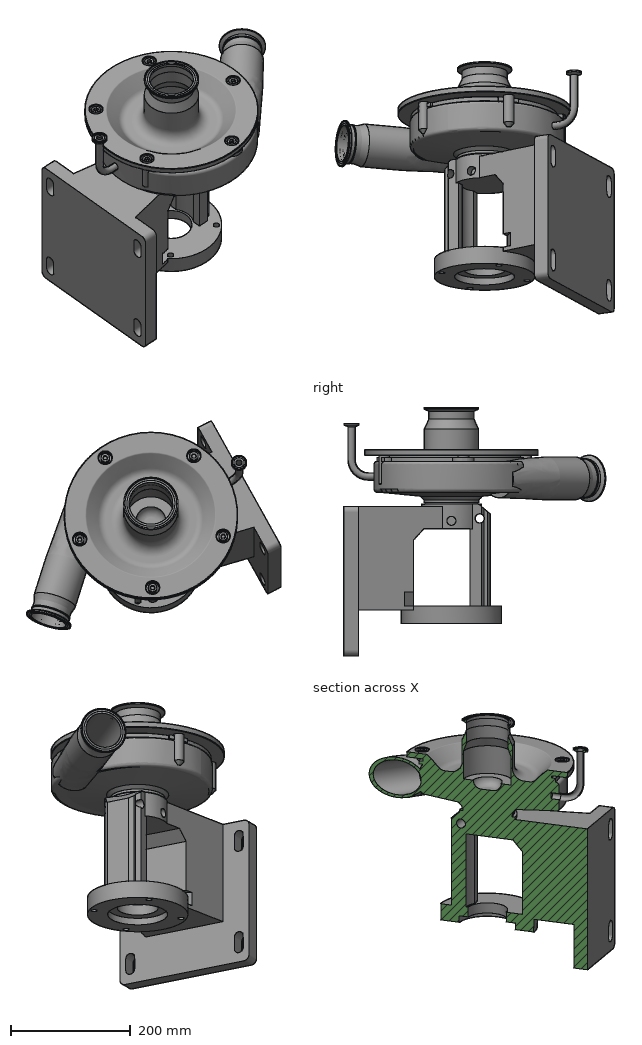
import cadquery as cq
import math


PLATE_SIZE = 250.0
PLATE_THICKNESS = 25.0
PLATE_CORNER_RADIUS = 10.0
PLATE_FACE_Y = -180.0
PLATE_BACK_Y = PLATE_FACE_Y + PLATE_THICKNESS
SLOT_SPACING_X = 210.0
SLOT_SPACING_Z = 180.0
SLOT_LENGTH = 37.0
SLOT_WIDTH = 17.0

ARM_HALF_WIDTH_AT_PLATE = 74.6
ARM_HALF_WIDTH_AT_HUB = 47.8
ARM_FRONT_Y = -14.6
ARM_INNER_Y = -63.0
ARM_BOTTOM_Z = 77.0
ARM_CHAMFER_Y = 17.0
ARM_CHAMFER_Z = 18.5
ARM_SLOPE = (ARM_HALF_WIDTH_AT_PLATE - ARM_HALF_WIDTH_AT_HUB) / (ARM_FRONT_Y - PLATE_BACK_Y)
NOTCH_LENGTH = 15.0
NOTCH_HEIGHT = 23.0

HUB_RADIUS = 50.0
HUB_BOTTOM_Z = 212.5
HUB_TOP_Z = 254.0
HUB_HOLE_Z = 226.0
CROSS_HOLE_DIAMETER = 15.0
HUB_HOLE_DEPTH = 15.0
LEG_HALF_WIDTH = 35.2
LEG_FRONT_Y = 31.0
LEG_SIDE_END_Y = 50.0
LEG_RIB_HALF_WIDTH = 28.0
LEG_RIB_START_Y = 54.5
LEG_RIB_END_Y = 60.0
LEG_BACK_HALF_WIDTH = 20.0
LEG_BACK_Y = 65.0
LEG_INNER_RADIUS = 37.5
LEG_CHAMFER_Y = 19.5
LEG_CHAMFER_Z = 16.5
LEG_HOLE_Y = 47.3
LEG_HOLE_Z = 230.0
RING_RADIUS = 84.0
RING_BORE_RADIUS = 34.0
RING_TOP_Z = 84.0
RING_THICKNESS = 29.5
RING_COUNTERBORE_RADIUS = 50.0
RING_LIP_HEIGHT = 18.0
RING_BOLT_RADIUS = 75.0
RING_BOLT_DIAMETER = 10.0
RING_BOLT_COUNT = 4
RING_BOLT_FIRST_ANGLE = 45.0

CASING_RADIUS = 134.6
CASING_CENTRE_X = 8.3
CASING_CENTRE_Y = 5.0
CASING_START_RADIUS = 115.0
CASING_BOTTOM_Z = 273.5
CASING_TOP_Z = 325.5
CASING_EDGE_RADIUS = 6.0
CASING_BASE_RADIUS = 119.0
CASING_BASE_Z = 267.0
NECK_RADIUS = 46.0
NECK_GROOVE_RADIUS = 44.5
NECK_GROOVE_TOP_Z = 256.7
NECK_FLARE = 6.0

COVER_RADIUS = 145.0
COVER_THICKNESS = 10.0
COVER_TOP_Z = 345.0
COVER_BOTTOM_Z = COVER_TOP_Z - COVER_THICKNESS
COVER_SPIGOT_RADIUS = 116.0
COVER_EDGE_CHAMFER = 1.0
COLLAR_RADIUS = 123.0
COLLAR_TOP_Z = 332.0
DISH_RIM_RADIUS = 109.5
DISH_RIM_FILLET = 3.0
DISH_FLOOR_RADIUS = 76.4
DISH_FLOOR_FILLET = 15.0
DISH_DEPTH = 25.0
DISH_WALL_ANGLE = 45.0

SUCTION_TOP_Z = 415.0
SUCTION_BODY_RADIUS = 45.5
SUCTION_ROOT_FILLET = 20.0
SUCTION_CONE_BOTTOM_Z = 379.5
SUCTION_CONE_TOP_Z = 396.0
SUCTION_PIPE_RADIUS = 38.0
SUCTION_BORE_RADIUS = 36.5
SUCTION_FLARE_RADIUS = 42.5
SUCTION_FLARE_TOP_Z = 375.0
SUCTION_FLARE_BOTTOM_Z = 359.0
SUCTION_FERRULE_RADIUS = 45.5
SUCTION_GROOVE_RADIUS = 41.6
SUCTION_FLOOR_Z = 310.0
EYE_RADIUS = 25.0
EYE_FILLET = 14.0

LIP_THICKNESS = 2.5
LIP_TAPER = 3.5
LIP_GROOVE_RADIUS = 1.6

OUTLET_ANGLE = 45.0
OUTLET_OFFSET = 114.5
OUTLET_AXIS_Z = 297.0
OUTLET_LENGTH = 211.55
OUTLET_BODY_RADIUS = 36.0
OUTLET_BODY_START = 107.0
OUTLET_BODY_END = 176.3
OUTLET_SHOULDER_RADIUS = 34.0
OUTLET_SHOULDER_END = 182.0
OUTLET_NECK_START = 188.0
OUTLET_PIPE_RADIUS = 32.3
OUTLET_BEAD_RADIUS = 33.3
OUTLET_BEAD_START = 198.0
OUTLET_BEAD_END = 200.0
OUTLET_BORE_RADIUS = 30.15
OUTLET_BORE_DEPTH = 150.0
OUTLET_FERRULE_RADIUS = 38.75
OUTLET_GROOVE_RADIUS = 35.25
TRANSITION_CENTRE = 112.0
TRANSITION_HALF_WIDTH = 34.5
TRANSITION_HALF_HEIGHT = 31.0
TRANSITION_AXIS_Z = 295.5

BOLT_COUNT = 5
BOLT_CIRCLE_RADIUS = 126.0
BOLT_FIRST_ANGLE = 9.2
POST_RADIUS = 9.0
POST_SHOULDER_Z = 288.0
POST_BOTTOM_Z = 281.0
POST_TIP_RADIUS = 3.0
LUG_RADIUS = 18.0
COUNTERBORE_RADIUS = 11.0
COUNTERBORE_CHAMFER = 1.0
COUNTERBORE_DEPTH = 8.0
HEAD_RADIUS = 7.3
HEAD_RECESS = 0.5
SOCKET_ACROSS_CORNERS = 8.0
SOCKET_DEPTH = 5.0

DRAIN_Y = -166.8
DRAIN_Z = 300.0
DRAIN_TOP_Z = 389.0
DRAIN_BEND_RADIUS = 28.5
DRAIN_INNER_Y = -115.0
DRAIN_RADIUS = 6.3
DRAIN_BORE_RADIUS = 4.9
DRAIN_FERRULE_RADIUS = 12.8
DRAIN_GROOVE_RADIUS = 9.8
DRAIN_LIP_THICKNESS = 3.0
DRAIN_LIP_TAPER = 3.0
DRAIN_LIP_GROOVE_RADIUS = 1.2


def on_circle(radius, angle):
    """Point in the XY plane at the given radius and angle in degrees."""
    return (radius * math.cos(math.radians(angle)), radius * math.sin(math.radians(angle)))


def disc(radius, bottom, top, centre=(0, 0)):
    """Vertical cylinder between two heights."""
    return cq.Workplane("XY", origin=(centre[0], centre[1], bottom)).circle(radius).extrude(top - bottom)


def turned(profile):
    """Solid of revolution about Z from (radius, height) corners."""
    return cq.Workplane("XZ").polyline(profile).close().revolve(360, (0, 0, 0), (0, 1, 0))


def face_groove(radius, height, groove_radius):
    """Ring cutter for the half-round gasket groove in a ferrule face."""
    section = cq.Workplane("XZ").center(radius, height).circle(groove_radius)
    return section.revolve(360, (-radius, 0, 0), (-radius, 1, 0))


def cross_hole(y, z, x_start, length):
    """Cylinder cutter along X."""
    plane = cq.Workplane("YZ", origin=(x_start, y, z))
    return plane.circle(CROSS_HOLE_DIAMETER / 2).extrude(length)


def bolt_positions():
    step = 360 / BOLT_COUNT
    return [on_circle(BOLT_CIRCLE_RADIUS, BOLT_FIRST_ANGLE + i * step) for i in range(BOLT_COUNT)]


def make_wall_plate():
    plane = cq.Workplane("XZ", origin=(0, PLATE_BACK_Y, PLATE_SIZE / 2))
    plate = plane.rect(PLATE_SIZE, PLATE_SIZE).extrude(PLATE_THICKNESS)
    plate = plate.edges("|Y").fillet(PLATE_CORNER_RADIUS)
    slots = (
        plane.rect(SLOT_SPACING_X, SLOT_SPACING_Z, forConstruction=True)
        .vertices()
        .slot2D(SLOT_LENGTH, SLOT_WIDTH, 90)
        .extrude(PLATE_THICKNESS)
    )
    return plate.cut(slots)


def arm_half_width(y):
    return ARM_HALF_WIDTH_AT_HUB + ARM_SLOPE * (ARM_FRONT_Y - y)


def make_notch(side):
    """Wedge cut in one arm corner, clear of the motor ring bolt."""
    end_y = ARM_INNER_Y - NOTCH_LENGTH
    corner = arm_half_width(ARM_INNER_Y)
    end = arm_half_width(end_y)
    outline = [
        (side * end, end_y),
        (side * (end + NOTCH_LENGTH), end_y),
        (side * (end + NOTCH_LENGTH), ARM_INNER_Y),
        (side * (corner - NOTCH_LENGTH), ARM_INNER_Y),
    ]
    plane = cq.Workplane("XY", origin=(0, 0, RING_TOP_Z))
    return plane.polyline(outline).close().extrude(NOTCH_HEIGHT)


def make_arm():
    side_outline = [
        (PLATE_BACK_Y, PLATE_SIZE),
        (0, PLATE_SIZE),
        (0, HUB_BOTTOM_Z),
        (ARM_INNER_Y + ARM_CHAMFER_Y, HUB_BOTTOM_Z),
        (ARM_INNER_Y, HUB_BOTTOM_Z - ARM_CHAMFER_Z),
        (ARM_INNER_Y, ARM_BOTTOM_Z),
        (PLATE_BACK_Y, ARM_BOTTOM_Z),
    ]
    top_outline = [
        (-ARM_HALF_WIDTH_AT_PLATE, PLATE_BACK_Y),
        (-ARM_HALF_WIDTH_AT_HUB, ARM_FRONT_Y),
        (ARM_HALF_WIDTH_AT_HUB, ARM_FRONT_Y),
        (ARM_HALF_WIDTH_AT_PLATE, PLATE_BACK_Y),
    ]
    arm = cq.Workplane("YZ").polyline(side_outline).close().extrude(ARM_HALF_WIDTH_AT_PLATE, both=True)
    arm = arm.intersect(cq.Workplane("XY").polyline(top_outline).close().extrude(PLATE_SIZE))
    for side in (-1, 1):
        arm = arm.cut(make_notch(side))
    return arm


def make_leg():
    right_half = [
        (LEG_HALF_WIDTH, LEG_FRONT_Y),
        (LEG_HALF_WIDTH, LEG_SIDE_END_Y),
        (LEG_RIB_HALF_WIDTH, LEG_RIB_START_Y),
        (LEG_RIB_HALF_WIDTH, LEG_RIB_END_Y),
        (LEG_BACK_HALF_WIDTH, LEG_BACK_Y),
    ]
    left_half = [(-x, y) for x, y in reversed(right_half)]
    plane = cq.Workplane("XY", origin=(0, 0, RING_TOP_Z))
    leg = plane.polyline(right_half + left_half).close().extrude(HUB_TOP_Z - RING_TOP_Z)
    leg = leg.cut(disc(LEG_INNER_RADIUS, RING_TOP_Z, HUB_BOTTOM_Z))
    chamfer = [
        (LEG_BACK_Y, HUB_TOP_Z),
        (LEG_BACK_Y - LEG_CHAMFER_Y, HUB_TOP_Z),
        (LEG_BACK_Y, HUB_TOP_Z - LEG_CHAMFER_Z),
    ]
    leg = leg.cut(cq.Workplane("YZ").polyline(chamfer).close().extrude(LEG_HALF_WIDTH, both=True))
    return leg


def make_motor_ring():
    ring = disc(RING_RADIUS, RING_TOP_Z - RING_THICKNESS, RING_TOP_Z)
    ring = ring.cut(disc(RING_COUNTERBORE_RADIUS, RING_TOP_Z - RING_THICKNESS, RING_TOP_Z - RING_LIP_HEIGHT))
    return ring.cut(disc(RING_BORE_RADIUS, RING_TOP_Z - RING_THICKNESS, RING_TOP_Z))


def ring_bolt_holes():
    holes = cq.Workplane("XY", origin=(0, 0, RING_TOP_Z - RING_THICKNESS))
    holes = holes.polarArray(RING_BOLT_RADIUS, RING_BOLT_FIRST_ANGLE, 360, RING_BOLT_COUNT)
    return holes.circle(RING_BOLT_DIAMETER / 2).extrude(RING_THICKNESS)


def make_bracket():
    bracket = make_wall_plate().union(make_arm())
    bracket = bracket.union(disc(HUB_RADIUS, HUB_BOTTOM_Z, HUB_TOP_Z))
    bracket = bracket.union(make_leg()).union(make_motor_ring())
    bracket = bracket.cut(ring_bolt_holes())
    bracket = bracket.cut(cross_hole(LEG_HOLE_Y, LEG_HOLE_Z, -HUB_RADIUS, 2 * HUB_RADIUS))
    for x_start in (-HUB_RADIUS, HUB_RADIUS - HUB_HOLE_DEPTH):
        bracket = bracket.cut(cross_hole(0, HUB_HOLE_Z, x_start, HUB_HOLE_DEPTH))
    return bracket


def casing_prism(bottom, top):
    """Plan outline of the casing between two heights."""
    left_x = CASING_CENTRE_X - CASING_RADIUS
    start_x = left_x + CASING_START_RADIUS
    flat_y = CASING_CENTRE_Y + CASING_START_RADIUS
    flat_end_x = CASING_CENTRE_X + math.sqrt(CASING_RADIUS**2 - CASING_START_RADIUS**2)
    outline = (
        cq.Workplane("XY", origin=(0, 0, bottom))
        .moveTo(left_x, CASING_CENTRE_Y)
        .threePointArc((CASING_CENTRE_X, CASING_CENTRE_Y - CASING_RADIUS), (flat_end_x, flat_y))
        .lineTo(start_x, flat_y)
        .tangentArcPoint((left_x, CASING_CENTRE_Y), relative=False)
        .close()
    )
    return outline.extrude(top - bottom)


def make_volute():
    """Casing with rounded rims, a shallow conical base and a neck down to the hub."""
    volute = casing_prism(CASING_BOTTOM_Z, CASING_TOP_Z)
    volute = volute.faces("<Z or >Z").edges().fillet(CASING_EDGE_RADIUS)
    base = turned([
        (0, CASING_BOTTOM_Z),
        (CASING_BASE_RADIUS, CASING_BOTTOM_Z),
        (NECK_RADIUS + NECK_FLARE, CASING_BASE_Z),
        (NECK_RADIUS, CASING_BASE_Z - NECK_FLARE),
        (NECK_RADIUS, NECK_GROOVE_TOP_Z),
        (NECK_GROOVE_RADIUS, NECK_GROOVE_TOP_Z),
        (NECK_GROOVE_RADIUS, HUB_TOP_Z),
        (0, HUB_TOP_Z),
    ])
    return volute.union(base)


def make_cover():
    cover = disc(COVER_RADIUS, COVER_BOTTOM_Z, COVER_TOP_Z).edges().chamfer(COVER_EDGE_CHAMFER)
    cover = cover.union(disc(COVER_SPIGOT_RADIUS, COLLAR_TOP_Z, COVER_BOTTOM_Z))
    return cover.union(disc(COLLAR_RADIUS, CASING_TOP_Z, COLLAR_TOP_Z))


def make_dish():
    """Cutter for the ring-shaped dish between the cover rim and the suction pipe."""
    angle = math.radians(DISH_WALL_ANGLE)
    sine = math.sin(angle)
    half_sine = math.sin(angle / 2)
    rise = 1 - math.cos(angle)
    half_rise = 1 - math.cos(angle / 2)
    floor_z = COVER_TOP_Z - DISH_DEPTH
    root_radius = SUCTION_BODY_RADIUS + SUCTION_ROOT_FILLET
    root_top_z = floor_z + SUCTION_ROOT_FILLET
    root_mid = (root_radius - SUCTION_ROOT_FILLET * sine, floor_z + SUCTION_ROOT_FILLET * rise)
    floor_mid = (DISH_FLOOR_RADIUS + DISH_FLOOR_FILLET * half_sine, floor_z + DISH_FLOOR_FILLET * half_rise)
    wall_bottom = (DISH_FLOOR_RADIUS + DISH_FLOOR_FILLET * sine, floor_z + DISH_FLOOR_FILLET * rise)
    wall_top = (DISH_RIM_RADIUS - DISH_RIM_FILLET * sine, COVER_TOP_Z - DISH_RIM_FILLET * rise)
    rim_mid = (DISH_RIM_RADIUS - DISH_RIM_FILLET * half_sine, COVER_TOP_Z - DISH_RIM_FILLET * half_rise)
    return (
        cq.Workplane("XZ")
        .moveTo(SUCTION_BODY_RADIUS, COVER_TOP_Z)
        .lineTo(SUCTION_BODY_RADIUS, root_top_z)
        .threePointArc(root_mid, (root_radius, floor_z))
        .lineTo(DISH_FLOOR_RADIUS, floor_z)
        .threePointArc(floor_mid, wall_bottom)
        .lineTo(*wall_top)
        .threePointArc(rim_mid, (DISH_RIM_RADIUS, COVER_TOP_Z))
        .close()
        .revolve(360, (0, 0, 0), (0, 1, 0))
    )


def make_suction_pipe():
    pipe = turned([
        (0, COVER_BOTTOM_Z),
        (SUCTION_BODY_RADIUS, COVER_BOTTOM_Z),
        (SUCTION_BODY_RADIUS, SUCTION_CONE_BOTTOM_Z),
        (SUCTION_PIPE_RADIUS, SUCTION_CONE_TOP_Z),
        (SUCTION_PIPE_RADIUS, SUCTION_TOP_Z - LIP_THICKNESS - LIP_TAPER),
        (SUCTION_FERRULE_RADIUS, SUCTION_TOP_Z - LIP_THICKNESS),
        (SUCTION_FERRULE_RADIUS, SUCTION_TOP_Z),
        (0, SUCTION_TOP_Z),
    ])
    return pipe.cut(face_groove(SUCTION_GROOVE_RADIUS, SUCTION_TOP_Z, LIP_GROOVE_RADIUS))


def make_suction_bore():
    """Bore that flares below the pipe cone and ends on a ledge with a round-bottomed eye in its centre."""
    bore = turned([
        (0, SUCTION_TOP_Z),
        (SUCTION_BORE_RADIUS, SUCTION_TOP_Z),
        (SUCTION_BORE_RADIUS, SUCTION_FLARE_TOP_Z),
        (SUCTION_FLARE_RADIUS, SUCTION_FLARE_BOTTOM_Z),
        (SUCTION_FLARE_RADIUS, SUCTION_FLOOR_Z),
        (0, SUCTION_FLOOR_Z),
    ])
    eye = disc(EYE_RADIUS, SUCTION_FLOOR_Z - EYE_FILLET, SUCTION_TOP_Z)
    return bore.union(eye.faces("<Z").edges().fillet(EYE_FILLET))


def along_outlet(shape):
    """Moves a shape built along +Z onto the discharge pipe axis."""
    shape = shape.rotate((0, 0, 0), (1, 0, 0), -90).rotate((0, 0, 0), (0, 0, 1), OUTLET_ANGLE)
    x, y = on_circle(OUTLET_OFFSET, OUTLET_ANGLE)
    return shape.translate((x, y, OUTLET_AXIS_Z))


def make_outlet():
    pipe = turned([
        (0, OUTLET_BODY_START),
        (OUTLET_BODY_RADIUS, OUTLET_BODY_START),
        (OUTLET_BODY_RADIUS, OUTLET_BODY_END),
        (OUTLET_SHOULDER_RADIUS, OUTLET_SHOULDER_END),
        (OUTLET_PIPE_RADIUS, OUTLET_NECK_START),
        (OUTLET_PIPE_RADIUS, OUTLET_BEAD_START),
        (OUTLET_BEAD_RADIUS, OUTLET_BEAD_START),
        (OUTLET_BEAD_RADIUS, OUTLET_BEAD_END),
        (OUTLET_PIPE_RADIUS, OUTLET_BEAD_END),
        (OUTLET_PIPE_RADIUS, OUTLET_LENGTH - LIP_THICKNESS - LIP_TAPER),
        (OUTLET_FERRULE_RADIUS, OUTLET_LENGTH - LIP_THICKNESS),
        (OUTLET_FERRULE_RADIUS, OUTLET_LENGTH),
        (0, OUTLET_LENGTH),
    ])
    pipe = pipe.cut(face_groove(OUTLET_GROOVE_RADIUS, OUTLET_LENGTH, LIP_GROOVE_RADIUS))
    shift_x = TRANSITION_CENTRE - OUTLET_OFFSET
    shift_y = OUTLET_AXIS_Z - TRANSITION_AXIS_Z
    transition = (
        cq.Workplane("XY")
        .center(shift_x, shift_y)
        .ellipse(TRANSITION_HALF_WIDTH, TRANSITION_HALF_HEIGHT)
        .workplane(offset=OUTLET_BODY_START)
        .center(-shift_x, -shift_y)
        .ellipse(OUTLET_BODY_RADIUS, OUTLET_BODY_RADIUS)
        .loft(ruled=True)
    )
    return along_outlet(pipe.union(transition))


def make_outlet_bore():
    return along_outlet(disc(OUTLET_BORE_RADIUS, OUTLET_LENGTH - OUTLET_BORE_DEPTH, OUTLET_LENGTH))


def make_post(position):
    """Bolt post under the cover: lug on the collar and a shank with a tapered tip."""
    shank = turned([
        (0, COVER_BOTTOM_Z),
        (POST_RADIUS, COVER_BOTTOM_Z),
        (POST_RADIUS, POST_SHOULDER_Z),
        (POST_TIP_RADIUS, POST_BOTTOM_Z),
        (0, POST_BOTTOM_Z),
    ])
    shank = shank.translate((position[0], position[1], 0))
    lug = disc(LUG_RADIUS, CASING_TOP_Z, COLLAR_TOP_Z, position)
    return shank.union(lug.intersect(casing_prism(CASING_TOP_Z, COLLAR_TOP_Z)))


def make_counterbore(position):
    """Cutter for a bolt head recess with a chamfered mouth."""
    floor_z = COVER_TOP_Z - COUNTERBORE_DEPTH
    recess = turned([
        (0, COVER_TOP_Z),
        (COUNTERBORE_RADIUS + COUNTERBORE_CHAMFER, COVER_TOP_Z),
        (COUNTERBORE_RADIUS, COVER_TOP_Z - COUNTERBORE_CHAMFER),
        (COUNTERBORE_RADIUS, floor_z),
        (0, floor_z),
    ])
    return recess.translate((position[0], position[1], 0))


def make_bolt_head(position):
    head_top = COVER_TOP_Z - HEAD_RECESS
    head = disc(HEAD_RADIUS, COVER_TOP_Z - COUNTERBORE_DEPTH, head_top, position)
    socket = cq.Workplane("XY", origin=(position[0], position[1], head_top))
    return head.cut(socket.polygon(6, SOCKET_ACROSS_CORNERS).extrude(-SOCKET_DEPTH))


def drain_tube(radius):
    """Round bar from the drain ferrule down and round the bend into the casing."""
    sine = math.sin(math.radians(45))
    bend_y = DRAIN_Y + DRAIN_BEND_RADIUS
    bend_z = DRAIN_Z + DRAIN_BEND_RADIUS
    bend_mid = (bend_y - DRAIN_BEND_RADIUS * sine, bend_z - DRAIN_BEND_RADIUS * sine)
    path = (
        cq.Workplane("YZ")
        .moveTo(DRAIN_Y, DRAIN_TOP_Z)
        .lineTo(DRAIN_Y, bend_z)
        .threePointArc(bend_mid, (bend_y, DRAIN_Z))
        .lineTo(DRAIN_INNER_Y, DRAIN_Z)
    )
    return cq.Workplane("XY", origin=(0, DRAIN_Y, DRAIN_TOP_Z)).circle(radius).sweep(path)


def make_drain_ferrule():
    ferrule = turned([
        (0, DRAIN_TOP_Z),
        (DRAIN_FERRULE_RADIUS, DRAIN_TOP_Z),
        (DRAIN_FERRULE_RADIUS, DRAIN_TOP_Z - DRAIN_LIP_THICKNESS),
        (DRAIN_RADIUS, DRAIN_TOP_Z - DRAIN_LIP_THICKNESS - DRAIN_LIP_TAPER),
        (0, DRAIN_TOP_Z - DRAIN_LIP_THICKNESS - DRAIN_LIP_TAPER),
    ])
    ferrule = ferrule.cut(face_groove(DRAIN_GROOVE_RADIUS, DRAIN_TOP_Z, DRAIN_LIP_GROOVE_RADIUS))
    return ferrule.translate((0, DRAIN_Y, 0))


def make_pump():
    pump = make_volute().union(make_outlet()).union(make_cover())
    for position in bolt_positions():
        pump = pump.union(make_post(position))
    pump = pump.cut(make_dish()).union(make_suction_pipe())
    pump = pump.cut(make_suction_bore()).cut(make_outlet_bore())
    for position in bolt_positions():
        pump = pump.cut(make_counterbore(position))
        pump = pump.union(make_bolt_head(position))
    pump = pump.union(drain_tube(DRAIN_RADIUS)).union(make_drain_ferrule())
    return pump.cut(drain_tube(DRAIN_BORE_RADIUS))


result = make_bracket().union(make_pump())